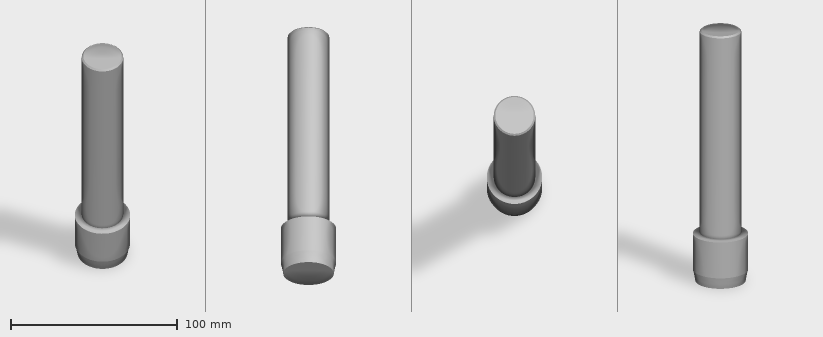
import cadquery as cq

total_height = 160.0

pin_radius = 12.5
pin_chamfer = 1.0
root_radius = 13.8

collar_radius = 16.6
shoulder_height = 30.0
crown_rise = 0.6
lip_thickness = 0.8
foot_radius = 15.2
foot_height = 7.2
foot_bow = 0.2

crown_height = shoulder_height + crown_rise
root_height = crown_height - lip_thickness


def make_pin():
    """Round pin chamfered at its top, with a thicker root at its lower end."""
    shaft = cq.Workplane("XY").circle(pin_radius).extrude(total_height).faces(">Z").chamfer(pin_chamfer)
    root = cq.Workplane("XY").circle(root_radius).extrude(root_height)
    return shaft.union(root)


def make_collar():
    """Revolved ring with a concave narrowed foot, a conical top and a stepped bore."""
    flank_middle = ((foot_radius + collar_radius) / 2 - foot_bow, foot_height / 2)
    return (
        cq.Workplane("XZ")
        .moveTo(root_radius, 0)
        .lineTo(foot_radius, 0)
        .threePointArc(flank_middle, (collar_radius, foot_height))
        .lineTo(collar_radius, shoulder_height)
        .lineTo(pin_radius, crown_height)
        .lineTo(pin_radius, root_height)
        .lineTo(root_radius, root_height)
        .close()
        .revolve(360, (0, 0, 0), (0, 1, 0))
    )


pin = make_pin()
collar = make_collar()

result = cq.Compound.makeCompound([pin.val(), collar.val()])